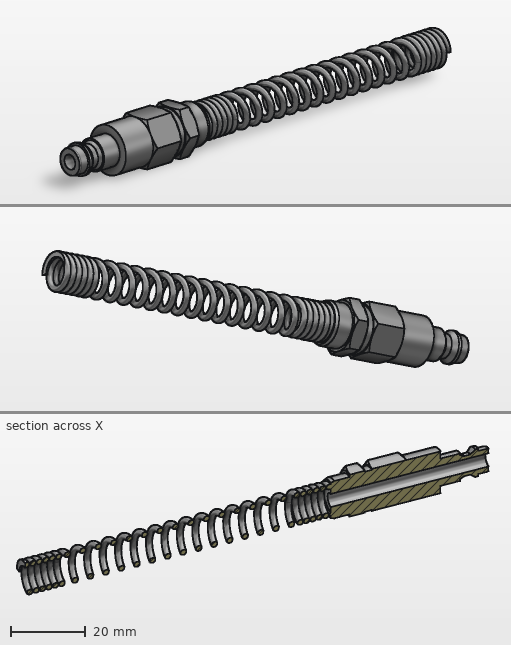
import cadquery as cq
import math

total_length = 135.0
bore_dia = 4.2

tip_dia = 7.8
tip_taper_length = 0.5
tip_taper_depth = 0.15
collar_start = 3.0
collar_end = 3.9
collar_dia = 9.2
neck_dia = 6.8
neck_start = 5.4
neck_end = 7.2
shoulder_start = 8.3
shoulder_end = 14.0
neck_shoulder_dia = 8.2

hex_across_flats = 14.0
hex_across_corners = hex_across_flats / math.cos(math.pi / 6)
hex_chamfer_angle = math.radians(30)
body_hex_start = 24.0
body_hex_end = 34.0
groove_dia = 13.4
nut_start = 36.0
nut_end = 40.5

sleeve_dia = 12.5
sleeve_end = 46.0
sleeve_taper_length = 1.0
sleeve_taper_depth = 0.4

spring_outer_dia = 11.0
wire_dia = 1.8
coil_radius = (spring_outer_dia - wire_dia) / 2
closed_pitch = 1.875
closed_turns = 6
open_pitch = 4.5
open_turns = 15
closed_length = closed_pitch * closed_turns
open_length = open_pitch * open_turns
spring_start = total_length - 2 * closed_length - open_length


def revolve_profile(points):
    """Revolve an outline of (radius, y) points about the Y axis."""
    return cq.Workplane("XY").polyline(points).close().revolve(360, (0, 0, 0), (0, 1, 0))


def along_y(solid):
    """Turn a shape built along +Z so that it runs along +Y."""
    return solid.rotate((0, 0, 0), (1, 0, 0), -90)


def turned_body():
    """All round sections of the coupling, from the plug tip to the sleeve."""
    tip = tip_dia / 2
    collar = collar_dia / 2
    neck = neck_dia / 2
    barrel = hex_across_flats / 2
    groove = groove_dia / 2
    sleeve = sleeve_dia / 2
    return revolve_profile([
        (0, 0),
        (tip - tip_taper_depth, 0),
        (tip, tip_taper_length),
        (tip, collar_start),
        (collar, collar_start),
        (collar, collar_end),
        (neck, neck_start),
        (neck, neck_end),
        (neck_shoulder_dia / 2, shoulder_start),
        (collar, shoulder_start),
        (collar, shoulder_end),
        (barrel, shoulder_end),
        (barrel, body_hex_start),
        (groove, body_hex_start),
        (groove, nut_start),
        (sleeve, nut_start),
        (sleeve, sleeve_end - sleeve_taper_length),
        (sleeve - sleeve_taper_depth, sleeve_end),
        (0, sleeve_end),
    ])


def chamfered_hex(start, end):
    """Hexagon with flats facing +Z and -Z, its corners turned off at both ends."""
    length = end - start
    prism = along_y(cq.Workplane("XY").polygon(6, hex_across_corners).extrude(length))
    face_radius = hex_across_flats / 2
    corner_radius = hex_across_corners / 2
    drop = (corner_radius - face_radius) * math.tan(hex_chamfer_angle)
    envelope = revolve_profile([
        (0, 0),
        (face_radius, 0),
        (corner_radius, drop),
        (corner_radius, length - drop),
        (face_radius, length),
        (0, length),
    ])
    return prism.intersect(envelope).translate((0, start, 0))


def coils(start, pitch, turns):
    """Right-handed coils that start and end on the +X side."""
    path = cq.Wire.makeHelix(pitch, pitch * turns, coil_radius)
    section = cq.Workplane("XZ").center(coil_radius, 0).circle(wire_dia / 2)
    return along_y(section.sweep(cq.Workplane(path), isFrenet=True)).translate((0, start, 0))


def spring():
    """Coil spring of three stretches joined into one wire, its free end cut flat."""
    lower = coils(spring_start, closed_pitch, closed_turns)
    middle = coils(spring_start + closed_length, open_pitch, open_turns)
    upper = coils(total_length - closed_length, closed_pitch, closed_turns)
    skin = []
    for stretch in (lower, middle, upper):
        skin.extend(stretch.faces("not %PLANE").vals())
    start_cap = lower.faces("%PLANE").faces("<Y").val()
    end_cap = upper.faces("%PLANE").faces(">Y").val()
    shell = cq.Shell.makeShell(skin + [start_cap, end_cap])
    overhang = along_y(cq.Workplane("XY").circle(spring_outer_dia).extrude(wire_dia))
    return cq.Workplane(cq.Solid.makeSolid(shell)).cut(overhang.translate((0, total_length, 0)))


coupling = turned_body()
coupling = coupling.union(chamfered_hex(body_hex_start, body_hex_end))
coupling = coupling.union(chamfered_hex(nut_start, nut_end))
bore = along_y(cq.Workplane("XY").circle(bore_dia / 2).extrude(sleeve_end))
result = coupling.cut(bore).union(spring())